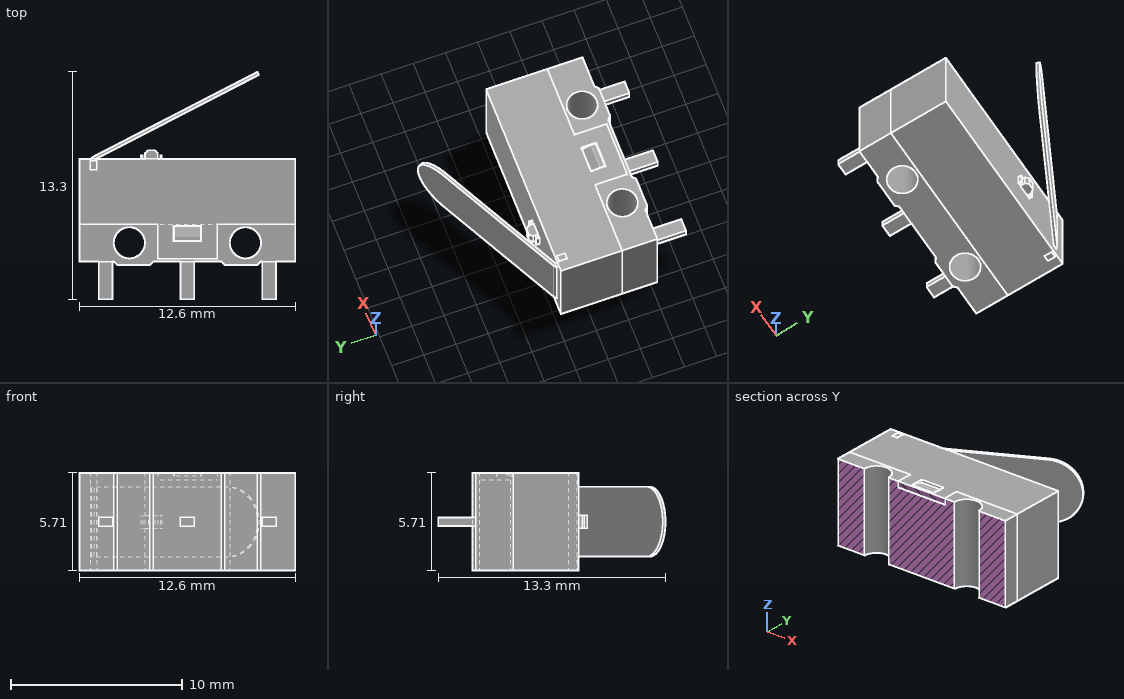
import cadquery as cq
import math


case_width = 12.6
case_height = 5.71
case_depth = 6.0
cover_depth = 3.81
mid_height = case_height / 2

tab_width = 3.48
tab_end_depth = 5.82
tab_thickness = 0.4
window_width = 1.63
window_near_depth = 3.89
window_far_depth = 4.82

latch_clearance = 0.04
latch_flat_length = 0.3
latch_ramp_drop = 0.17

hole_diameter = 1.8
hole_offset = 3.39
hole_depth_position = 4.9
pad_offset = 3.13
pad_root_width = 2.3
pad_projection = 0.2

terminal_pitch = 4.77
terminal_width = 0.81
terminal_thickness = 0.5
terminal_end_depth = 8.21

plunger_x = -2.1
plunger_width = 0.76
plunger_height = 0.5
plunger_chamfer = 0.19
guide_outer_span = 1.22
guide_thickness = 0.1
guide_height = 0.21

total_depth = 13.28
blade_angle = math.radians(27.3)
blade_width = 4.09
blade_thickness = 0.2
bend_inner_radius = 0.2
bend_corner_y = 0.04
pivot_left = -5.67
pivot_width = 0.37
pivot_top_y = -0.12
pivot_height = 0.5


def block(x_min, x_max, y_min, y_max, z_min, z_max):
    """Box given by its limits along each axis."""
    return cq.Workplane("XY").box(
        x_max - x_min, y_max - y_min, z_max - z_min, centered=False
    ).translate((x_min, y_min, z_min))


def centred_block(width, y_min, y_max, z_min, z_max, x=0.0):
    """Box centred on x, given by its width and its Y and Z limits."""
    return block(x - width / 2, x + width / 2, y_min, y_max, z_min, z_max)


def tab_space():
    """Volume of the cover tab, before the window is cut."""
    return centred_block(
        tab_width, -tab_end_depth, -cover_depth, case_height - tab_thickness, case_height
    )


def make_pad(x):
    """Full-height pad on the terminal face, with 45 degree flanks."""
    half_root = pad_root_width / 2
    half_top = half_root - pad_projection
    top_y = -case_depth - pad_projection
    return (
        cq.Workplane("XY")
        .polyline([
            (x - half_root, -case_depth),
            (x - half_top, top_y),
            (x + half_top, top_y),
            (x + half_root, -case_depth),
        ])
        .close()
        .extrude(case_height)
    )


def make_latch():
    """Latch that stands in the tab window, ramped on its cover side."""
    near_y = -window_near_depth - latch_clearance
    far_y = -window_far_depth + latch_clearance
    width = window_width - 2 * latch_clearance
    floor_z = case_height - tab_thickness
    return (
        cq.Workplane("YZ")
        .polyline([
            (far_y, floor_z),
            (far_y, case_height),
            (far_y + latch_flat_length, case_height),
            (near_y, case_height - latch_ramp_drop),
            (near_y, floor_z),
        ])
        .close()
        .extrude(width / 2, both=True)
    )


def make_terminal(x):
    """Flat terminal that stands out from the terminal face."""
    return centred_block(
        terminal_width,
        -terminal_end_depth,
        -case_depth,
        mid_height - terminal_thickness / 2,
        mid_height + terminal_thickness / 2,
        x,
    )


def make_base():
    """Base with its pads, latch, terminals and mounting holes."""
    base = centred_block(case_width, -case_depth, -cover_depth, 0, case_height)
    base = base.cut(tab_space()).union(make_latch())
    for side in (-1, 1):
        base = base.union(make_pad(side * pad_offset))
    for place in (-1, 0, 1):
        base = base.union(make_terminal(place * terminal_pitch))
    holes = (
        cq.Workplane("XY")
        .pushPoints([(side * hole_offset, -hole_depth_position) for side in (-1, 1)])
        .circle(hole_diameter / 2)
        .extrude(case_height)
    )
    return base.cut(holes)


def make_plunger():
    """Plunger, chamfered at both sides of its top."""
    half_depth = plunger_width / 2
    plunger = centred_block(
        plunger_width, 0, plunger_height, mid_height - half_depth, mid_height + half_depth, plunger_x
    )
    return plunger.faces(">Y").edges("|Z").chamfer(plunger_chamfer)


def make_guide(side):
    """Guide rib beside the plunger, as long as the plunger is deep."""
    half_depth = plunger_width / 2
    x = plunger_x + side * (guide_outer_span - guide_thickness) / 2
    return centred_block(
        guide_thickness, 0, guide_height, mid_height - half_depth, mid_height + half_depth, x
    )


def make_cover(lever_body):
    """Cover with its windowed tab, plunger and guides, recessed to fit the lever."""
    cover = centred_block(case_width, -cover_depth, 0, 0, case_height).union(tab_space())
    window = centred_block(
        window_width,
        -window_far_depth,
        -window_near_depth,
        case_height - tab_thickness,
        case_height,
    )
    cover = cover.cut(window).union(make_plunger())
    for side in (-1, 1):
        cover = cover.union(make_guide(side))
    return cover.cut(lever_body)


def make_lever():
    """Round-ended blade, bend, leg and pivot bar."""
    bend_outer_radius = bend_inner_radius + blade_thickness
    turn = math.pi / 2 - blade_angle
    tangent_length = bend_outer_radius * math.tan(turn / 2)
    bend_centre_x = pivot_left + bend_outer_radius
    bend_centre_y = bend_corner_y - tangent_length
    leg_end_y = pivot_top_y - pivot_height

    def on_bend(radius, swept):
        angle = math.pi - swept
        return (
            bend_centre_x + radius * math.cos(angle),
            bend_centre_y + radius * math.sin(angle),
        )

    leg_and_bend = (
        cq.Workplane("XY")
        .workplane(offset=mid_height - blade_width / 2)
        .moveTo(pivot_left, leg_end_y)
        .lineTo(pivot_left, bend_centre_y)
        .threePointArc(on_bend(bend_outer_radius, turn / 2), on_bend(bend_outer_radius, turn))
        .lineTo(*on_bend(bend_inner_radius, turn))
        .threePointArc(on_bend(bend_inner_radius, turn / 2), on_bend(bend_inner_radius, 0))
        .lineTo(pivot_left + blade_thickness, leg_end_y)
        .close()
        .extrude(blade_width)
    )

    tip_y = total_depth - terminal_end_depth
    blade_length = (tip_y - bend_corner_y) / math.sin(blade_angle) - tangent_length
    half_width = blade_width / 2
    straight_length = blade_length - half_width
    bend_end = on_bend(bend_outer_radius, turn)
    outer_face = cq.Plane(
        origin=(*bend_end, mid_height),
        xDir=(math.cos(blade_angle), math.sin(blade_angle), 0),
        normal=(-math.sin(blade_angle), math.cos(blade_angle), 0),
    )
    blade = (
        cq.Workplane(outer_face)
        .moveTo(0, -half_width)
        .lineTo(straight_length, -half_width)
        .threePointArc((blade_length, 0), (straight_length, half_width))
        .lineTo(0, half_width)
        .close()
        .extrude(-blade_thickness)
    )

    pivot_bar = block(
        pivot_left, pivot_left + pivot_width, leg_end_y, pivot_top_y, 0, case_height
    )
    return pivot_bar.union(leg_and_bend).union(blade)


lever = make_lever().solids()
cover = make_cover(lever).solids()
base = make_base().solids()

result = cq.Compound.makeCompound([base.val(), cover.val(), lever.val()])